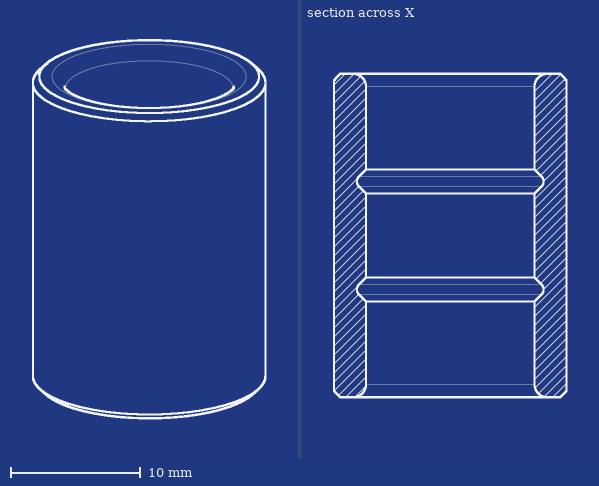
import cadquery as cq
import math

height = 25
outer_radius = 9
bore_radius = 6.5
end_chamfer = 0.5
bore_mouth_radius = 1

groove_count = 2
groove_depth = 0.7
groove_bottom_radius = 0.55
flank_angle = math.radians(45)


def make_sleeve():
    """Tube with chamfered outer rims and rounded bore mouths."""
    body = cq.Workplane("XY").circle(outer_radius).extrude(height)
    body = body.faces("<Z or >Z").edges().chamfer(end_chamfer)
    bore = cq.Workplane("XY").circle(bore_radius).extrude(height)
    sleeve = body.cut(bore)
    mouth_edges = sleeve.edges(cq.selectors.RadiusNthSelector(0))
    return mouth_edges.fillet(bore_mouth_radius)


def make_groove_cutter(center_z):
    """Ring cutter whose straight flanks run tangentially into the round bottom."""
    bottom_r = bore_radius + groove_depth
    tangent_r = bottom_r - groove_bottom_radius * (1 - math.cos(flank_angle))
    tangent_half_width = groove_bottom_radius * math.sin(flank_angle)
    flank_width = (tangent_r - bore_radius) * math.tan(flank_angle)
    mouth_half_width = tangent_half_width + flank_width

    profile = (
        cq.Workplane("XZ")
        .moveTo(0, center_z - mouth_half_width)
        .lineTo(bore_radius, center_z - mouth_half_width)
        .lineTo(tangent_r, center_z - tangent_half_width)
        .threePointArc((bottom_r, center_z), (tangent_r, center_z + tangent_half_width))
        .lineTo(bore_radius, center_z + mouth_half_width)
        .lineTo(0, center_z + mouth_half_width)
        .close()
    )
    return profile.revolve(360, (0, 0), (0, 1))


result = make_sleeve()
groove_spacing = height / (groove_count + 1)
for groove_number in range(1, groove_count + 1):
    result = result.cut(make_groove_cutter(groove_number * groove_spacing))